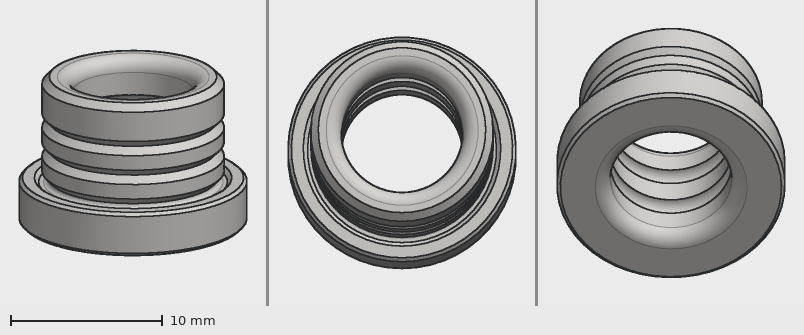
import cadquery as cq
import math

flange_radius = 7.5
height = flange_radius * 4 / 3
flange_height = 3.0
flange_chamfer = 0.22

barrel_radius = 6.0
neck_radius = 5.5
flank_height = 0.5
rib_land = 1.0
rib_pitch = rib_land + 2 * flank_height
rib_count = 2

recess_outer_radius = 6.5
recess_floor_radius = 6.21
recess_depth = 0.28
foot_radius = 5.58
foot_fillet = 0.33

bore_radius = 3.99
mouth_radius = 1.0
bore_groove_radius = 0.75
bore_groove_count = 2

quarter_arc_inset = 1 - math.cos(math.pi / 4)


def revolve_profile(profile):
    return profile.close().revolve(360, (0, 0, 0), (0, 1, 0))


def make_flange():
    flange = cq.Workplane("XY").circle(flange_radius).extrude(flange_height)
    flange = flange.edges().chamfer(flange_chamfer)
    floor_z = flange_height - recess_depth
    recess = revolve_profile(
        cq.Workplane("XZ")
        .moveTo(0, floor_z)
        .lineTo(recess_floor_radius, floor_z)
        .lineTo(recess_outer_radius, flange_height)
        .lineTo(0, flange_height)
    )
    return flange.cut(recess)


def make_barrel():
    floor_z = flange_height - recess_depth
    arc_offset = foot_fillet * quarter_arc_inset
    profile = (
        cq.Workplane("XZ")
        .lineTo(foot_radius + foot_fillet, 0)
        .lineTo(foot_radius + foot_fillet, floor_z)
        .threePointArc(
            (foot_radius + arc_offset, floor_z + arc_offset),
            (foot_radius, floor_z + foot_fillet),
        )
    )
    for index in range(rib_count):
        rib_z = flange_height + index * rib_pitch
        profile = (
            profile.lineTo(barrel_radius, rib_z + flank_height)
            .lineTo(barrel_radius, rib_z + flank_height + rib_land)
            .lineTo(neck_radius, rib_z + rib_pitch)
        )
    head_z = flange_height + rib_count * rib_pitch
    profile = (
        profile.lineTo(barrel_radius, head_z + flank_height)
        .lineTo(barrel_radius, height - flank_height)
        .lineTo(neck_radius, height)
        .lineTo(0, height)
    )
    return revolve_profile(profile)


def make_bore():
    mouth_edge = bore_radius + mouth_radius
    arc_offset = mouth_radius * quarter_arc_inset
    profile = (
        cq.Workplane("XZ")
        .lineTo(mouth_edge, 0)
        .threePointArc((bore_radius + arc_offset, arc_offset), (bore_radius, mouth_radius))
    )
    for index in range(bore_groove_count):
        groove_z = height * (index + 1) / (bore_groove_count + 1)
        profile = profile.lineTo(bore_radius, groove_z - bore_groove_radius).threePointArc(
            (bore_radius + bore_groove_radius, groove_z),
            (bore_radius, groove_z + bore_groove_radius),
        )
    profile = (
        profile.lineTo(bore_radius, height - mouth_radius)
        .threePointArc((bore_radius + arc_offset, height - arc_offset), (mouth_edge, height))
        .lineTo(0, height)
    )
    return revolve_profile(profile)


result = make_flange().union(make_barrel()).cut(make_bore())